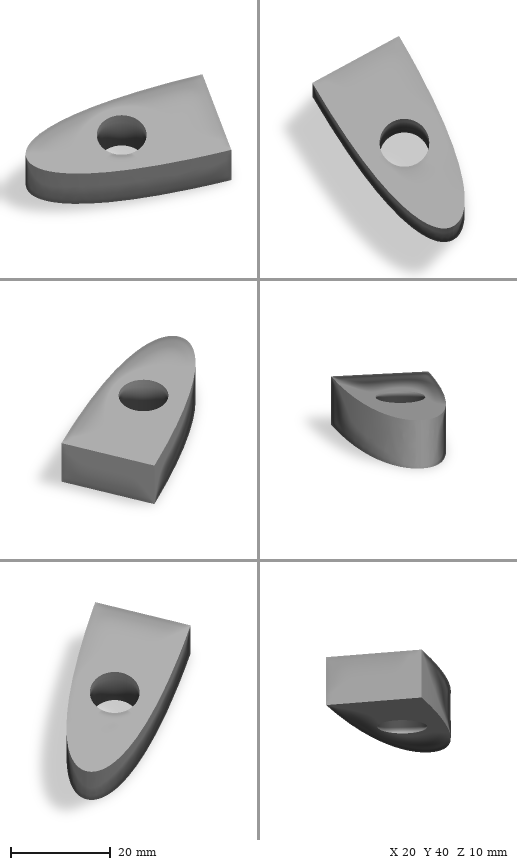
import cadquery as cq

length = 40.0
width = length / 2
thickness = length / 4
hole_diameter = width / 2
hole_from_back = length / 2

side_handle = 29.25
nose_handle = 5.05


def make_body():
    """Flat-backed plate whose sides curve smoothly into a rounded nose at -Y."""
    half_width = width / 2
    left_curve = [
        (-half_width, 0),
        (-half_width, -side_handle),
        (-nose_handle, -length),
        (0, -length),
    ]
    right_curve = [(-x, y) for x, y in reversed(left_curve)]
    return (
        cq.Workplane("XY")
        .moveTo(*left_curve[0])
        .bezier(left_curve)
        .bezier(right_curve)
        .close()
        .extrude(thickness)
    )


def make_hole():
    """Round hole through the full thickness, on the centreline."""
    return (
        cq.Workplane("XY")
        .center(0, -hole_from_back)
        .circle(hole_diameter / 2)
        .extrude(thickness)
    )


result = make_body().cut(make_hole())